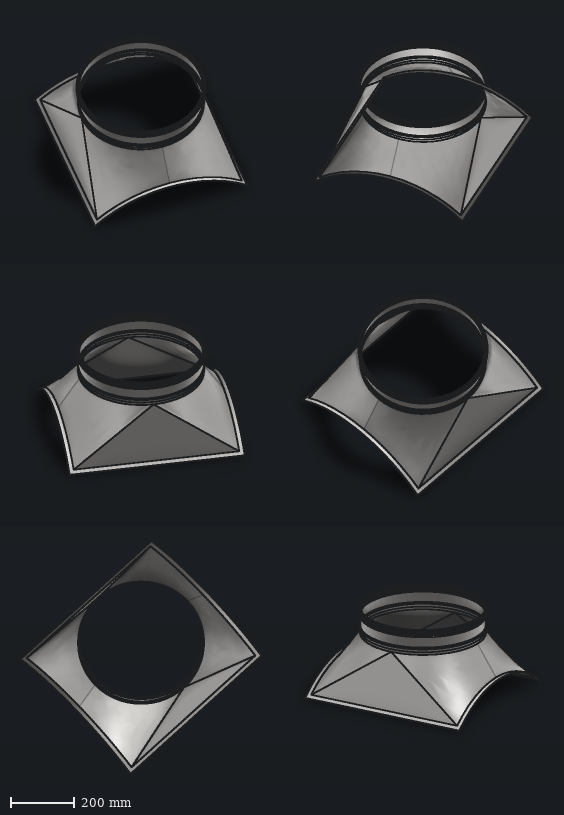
import cadquery as cq
import math

SHEET = 0.5
SADDLE_OUTER_RADIUS = 400.0
SADDLE_LENGTH = 565.0
SADDLE_WIDTH = 510.45
FLANGE_WIDTH = 15.5
TOTAL_HEIGHT = 278.11

DUCT_RADIUS = SADDLE_OUTER_RADIUS - SHEET
SADDLE_HALF_ANGLE = math.asin(SADDLE_WIDTH / 2 / SADDLE_OUTER_RADIUS)
SADDLE_BOTTOM = DUCT_RADIUS * math.cos(SADDLE_HALF_ANGLE)
COLLAR_TOP = SADDLE_BOTTOM + TOTAL_HEIGHT

FOOT_HALF_LENGTH = SADDLE_LENGTH / 2 - FLANGE_WIDTH
FOOT_HALF_ANGLE = SADDLE_HALF_ANGLE - FLANGE_WIDTH / DUCT_RADIUS

NECK_RADIUS = 397.75 / 2
NECK_HEIGHT = 9.2

COLLAR_RADIUS = 398.8 / 2
GROOVE_RADIUS = 394.0 / 2
COLLAR_LENGTH = 85.0
BEAD_HEIGHT = 22.0
BEAD_HALF_WIDTH = 3.4
BEAD_FLOOR_HALF_WIDTH = 1.1
BEAD_DEPTH = 1.3
CONE_HEIGHT = 4.6
GROOVE_BOTTOM_DEPTH = 20.6
RIM_BEND_RADIUS = 1.5

COLLAR_BOTTOM = COLLAR_TOP - COLLAR_LENGTH
BEAD_Z = COLLAR_BOTTOM + BEAD_HEIGHT
GROOVE_BOTTOM = COLLAR_TOP - GROOVE_BOTTOM_DEPTH

STRIP_RADIUS = 395.2 / 2
STRIP_TOP = COLLAR_TOP - 2.3
STRIP_BOTTOM = COLLAR_TOP - 16.0
SHOULDER_RADIUS = COLLAR_RADIUS
SHOULDER_TOP = COLLAR_TOP - 4.6
LIP_ROOT = COLLAR_TOP - 6.9
LIP_THICKNESS = 2.0
LOWER_LIP_ROOT = LIP_ROOT - 2 * LIP_THICKNESS
UPPER_LIP_RADIUS = 404.2 / 2
UPPER_LIP_TIP = COLLAR_TOP - 9.1
LOWER_LIP_RADIUS = 409.2 / 2
LOWER_LIP_TIP = COLLAR_TOP - 13.9


def revolved(profile):
    """Turn a profile, drawn as radius and height, around the Z axis."""
    return profile.close().revolve(360, (0, 0, 0), (0, 1, 0))


def transition_block(neck_radius, foot_radius, foot_half_length, foot_half_angle):
    """Solid between a round top and a rectangle wrapped on the duct."""

    def on_neck(angle):
        return cq.Vector(neck_radius * math.cos(angle), neck_radius * math.sin(angle), COLLAR_BOTTOM)

    def on_duct(side_x, angle):
        return cq.Vector(
            side_x * foot_half_length,
            foot_radius * math.sin(angle),
            foot_radius * math.cos(angle),
        )

    faces = []
    neck_edges = []
    foot_edges = {}
    for side_x in (-1, 1):
        middle = on_neck(0 if side_x > 0 else math.pi)
        crown = on_duct(side_x, 0)
        for side_y in (-1, 1):
            apex = on_neck(side_y * math.pi / 2)
            halfway = on_neck(math.atan2(side_y, side_x))
            neck_edge = cq.Edge.makeThreePointArc(apex, halfway, middle)
            foot_edge = cq.Edge.makeThreePointArc(
                on_duct(side_x, side_y * foot_half_angle),
                on_duct(side_x, side_y * foot_half_angle / 2),
                crown,
            )
            faces.append(cq.Face.makeRuledSurface(neck_edge, foot_edge))
            neck_edges.append(neck_edge)
            foot_edges[side_x, side_y] = foot_edge
    for side_y in (-1, 1):
        triangle = cq.Wire.makePolygon(
            [
                on_neck(side_y * math.pi / 2),
                on_duct(-1, side_y * foot_half_angle),
                on_duct(1, side_y * foot_half_angle),
            ],
            close=True,
        )
        faces.append(cq.Face.makeFromWires(triangle))
        faces.append(cq.Face.makeRuledSurface(foot_edges[-1, side_y], foot_edges[1, side_y]))
    faces.append(cq.Face.makeFromWires(cq.Wire.assembleEdges(neck_edges)))
    return cq.Workplane(cq.Solid.makeSolid(cq.Shell.makeShell(faces)).fix())


def saddle_plate():
    """Sheet bent around the duct, with ends cut square to the sheet."""

    def at(radius, angle):
        return (radius * math.sin(angle), radius * math.cos(angle))

    return (
        cq.Workplane("YZ")
        .moveTo(*at(DUCT_RADIUS, -SADDLE_HALF_ANGLE))
        .threePointArc(at(DUCT_RADIUS, 0), at(DUCT_RADIUS, SADDLE_HALF_ANGLE))
        .lineTo(*at(SADDLE_OUTER_RADIUS, SADDLE_HALF_ANGLE))
        .threePointArc(at(SADDLE_OUTER_RADIUS, 0), at(SADDLE_OUTER_RADIUS, -SADDLE_HALF_ANGLE))
        .close()
        .extrude(SADDLE_LENGTH / 2, both=True)
    )


def make_saddle_piece():
    """Saddle plate, rectangle-to-round transition and neck, all one sheet part."""
    outside = transition_block(NECK_RADIUS, SADDLE_OUTER_RADIUS, FOOT_HALF_LENGTH, FOOT_HALF_ANGLE)
    inside = transition_block(
        NECK_RADIUS - SHEET,
        DUCT_RADIUS,
        FOOT_HALF_LENGTH - SHEET,
        FOOT_HALF_ANGLE - SHEET / DUCT_RADIUS,
    )
    neck = (
        cq.Workplane("XY", origin=(0, 0, COLLAR_BOTTOM))
        .circle(NECK_RADIUS)
        .circle(NECK_RADIUS - SHEET)
        .extrude(NECK_HEIGHT)
    )
    return saddle_plate().union(outside).cut(inside).union(neck)


def make_collar():
    """Thin round sleeve with a flat-floored bead, a cone into the groove and a flat rim."""
    outer = COLLAR_RADIUS
    inner = COLLAR_RADIUS - SHEET
    groove_inner = GROOVE_RADIUS - SHEET
    bend_bottom = COLLAR_TOP - SHEET - RIM_BEND_RADIUS
    cone_bottom = GROOVE_BOTTOM - CONE_HEIGHT
    return revolved(
        cq.Workplane("XZ")
        .moveTo(inner, COLLAR_BOTTOM)
        .lineTo(outer, COLLAR_BOTTOM)
        .lineTo(outer, BEAD_Z - BEAD_HALF_WIDTH)
        .lineTo(outer - BEAD_DEPTH, BEAD_Z - BEAD_FLOOR_HALF_WIDTH)
        .lineTo(outer - BEAD_DEPTH, BEAD_Z + BEAD_FLOOR_HALF_WIDTH)
        .lineTo(outer, BEAD_Z + BEAD_HALF_WIDTH)
        .lineTo(outer, cone_bottom)
        .lineTo(GROOVE_RADIUS, GROOVE_BOTTOM)
        .lineTo(GROOVE_RADIUS, bend_bottom)
        .radiusArc((GROOVE_RADIUS + RIM_BEND_RADIUS, COLLAR_TOP - SHEET), RIM_BEND_RADIUS)
        .lineTo(outer, COLLAR_TOP - SHEET)
        .lineTo(outer, COLLAR_TOP)
        .lineTo(GROOVE_RADIUS + RIM_BEND_RADIUS, COLLAR_TOP)
        .radiusArc((groove_inner, bend_bottom), -(RIM_BEND_RADIUS + SHEET))
        .lineTo(groove_inner, GROOVE_BOTTOM)
        .lineTo(inner, cone_bottom)
        .lineTo(inner, BEAD_Z + BEAD_HALF_WIDTH)
        .lineTo(inner - BEAD_DEPTH, BEAD_Z + BEAD_FLOOR_HALF_WIDTH)
        .lineTo(inner - BEAD_DEPTH, BEAD_Z - BEAD_FLOOR_HALF_WIDTH)
        .lineTo(inner, BEAD_Z - BEAD_HALF_WIDTH)
    )


def make_seal():
    """Shouldered strip around the groove with two lips that slope outward and down."""
    return revolved(
        cq.Workplane("XZ")
        .moveTo(GROOVE_RADIUS, STRIP_TOP)
        .lineTo(STRIP_RADIUS, STRIP_TOP)
        .lineTo(STRIP_RADIUS, SHOULDER_TOP)
        .lineTo(SHOULDER_RADIUS, SHOULDER_TOP)
        .lineTo(SHOULDER_RADIUS, LIP_ROOT)
        .lineTo(UPPER_LIP_RADIUS, UPPER_LIP_TIP)
        .lineTo(UPPER_LIP_RADIUS, UPPER_LIP_TIP - LIP_THICKNESS)
        .lineTo(SHOULDER_RADIUS, LIP_ROOT - LIP_THICKNESS)
        .lineTo(LOWER_LIP_RADIUS, LOWER_LIP_TIP)
        .lineTo(LOWER_LIP_RADIUS, LOWER_LIP_TIP - LIP_THICKNESS)
        .lineTo(STRIP_RADIUS, LOWER_LIP_ROOT)
        .lineTo(STRIP_RADIUS, STRIP_BOTTOM)
        .lineTo(GROOVE_RADIUS, STRIP_BOTTOM)
    )


saddle_piece = make_saddle_piece()
collar = make_collar()
seal = make_seal()

result = cq.Compound.makeCompound([saddle_piece.val(), collar.val(), seal.val()])